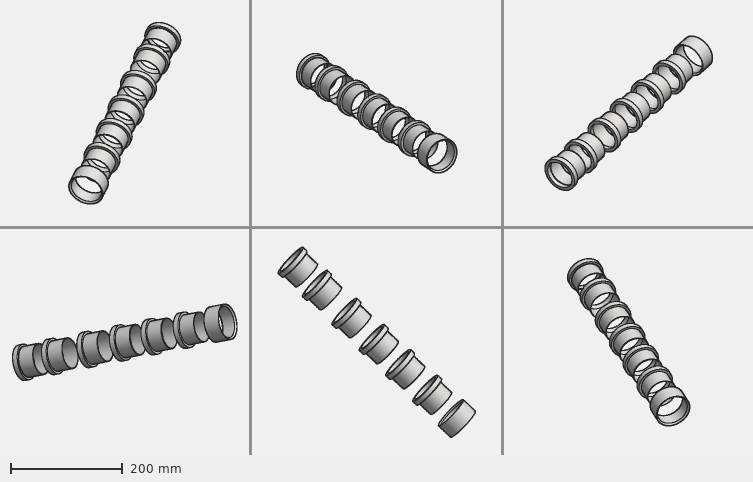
import cadquery as cq

total_length = 430.0
row_end = total_length / 2

flange_diameter = 65.0
flange_thickness = 10.0
bushing_length = 40.0
flange_bore = 53.0
bore_taper_length = 4.5

ring_length = 30.0
ring_bore = 57.0
ring_chamfer = 3.0

bushing_sizes = [
    (0.0, 57.0, 55.0, 0, 0),
    (60.5, 56.5, 54.5, bore_taper_length, 0),
    (134.0, 56.5, 54.0, bore_taper_length, 0),
    (202.5, 56.5, 54.0, bore_taper_length, 1.0),
    (268.2, 56.5, 54.0, bore_taper_length, 1.0),
    (335.7, 55.0, 53.7, bore_taper_length, 0.5),
]


def revolve_about_y(half_profile):
    """Solid of revolution from (radius, y) points of a closed outline."""
    return cq.Workplane("XY").polyline(half_profile).close().revolve(360, (0, 0, 0), (0, 1, 0))


def bushing(end_offset, spigot_diameter, spigot_bore, taper_length, tip_chamfer):
    """Flanged sleeve whose bore narrows, by a taper or a step, inside the flange."""
    flange_end = row_end - end_offset
    flange_face = flange_end - flange_thickness
    tip = flange_end - bushing_length
    spigot_radius = spigot_diameter / 2
    if tip_chamfer:
        tip_corner = [(spigot_radius - tip_chamfer, tip), (spigot_radius, tip + tip_chamfer)]
    else:
        tip_corner = [(spigot_radius, tip)]
    return revolve_about_y([
        (spigot_bore / 2, tip),
        *tip_corner,
        (spigot_radius, flange_face),
        (flange_diameter / 2, flange_face),
        (flange_diameter / 2, flange_end),
        (flange_bore / 2, flange_end),
        (flange_bore / 2, flange_face + taper_length),
        (spigot_bore / 2, flange_face),
    ])


def end_ring():
    """Plain ring with its bore chamfered at both ends."""
    front = -row_end
    back = front + ring_length
    outer_radius = flange_diameter / 2
    bore_radius = ring_bore / 2
    mouth_radius = bore_radius + ring_chamfer
    return revolve_about_y([
        (mouth_radius, front),
        (outer_radius, front),
        (outer_radius, back),
        (mouth_radius, back),
        (bore_radius, back - ring_chamfer),
        (bore_radius, front + ring_chamfer),
    ])


ring = end_ring()
bushings = [bushing(*sizes) for sizes in bushing_sizes]

result = cq.Compound.makeCompound([ring.val(), *[sleeve.val() for sleeve in bushings]])